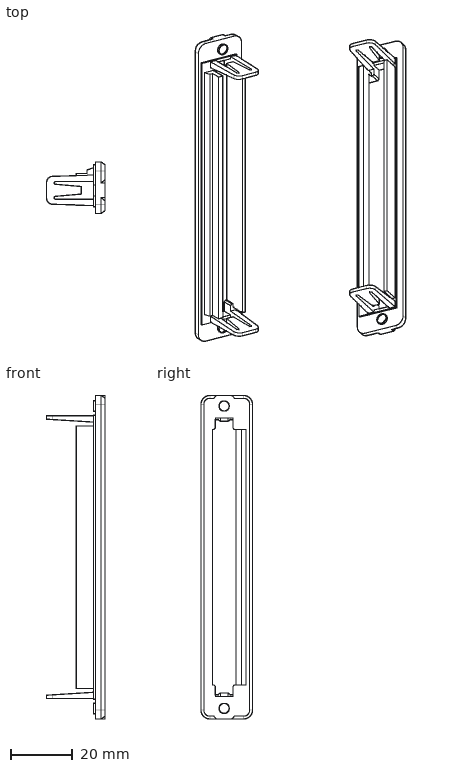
import cadquery as cq
import math


length = 105.0
width = 16.8
depth = 19.0
plate_thickness = 3.1
corner_radius = 2.9
bevel_depth = 1.3
bevel_inset = 0.9
plate_back = depth - plate_thickness

seat_height = 0.6
seat_left = 7.5
seat_right = -6.2
seat_half_length = 46.1
seat_back = plate_back - seat_height

feature_center = -0.8
hole_from_end = 3.5
hole_radius = 1.6
collar_radius = 1.8
pad_radius = 4.2
hole_z = length / 2 - hole_from_end

window_left = 2.9
window_right = -4.6
window_half_length = 41.4
neck_half_width = 2.8
neck_half_length = 45.1
neck_corner = 0.5

undercut_floor = 13.6
undercut_floor_edge = 4.8
undercut_front_edge = 6.3

rail_half_length = 42.6
rail_back = 9.7
wide_rail_step = 4.6
wide_rail_shelf_back = 13.1
wide_rail_shelf_edge = 5.8
wide_rail_foot = 6.5
thin_rail_edge = -5.8

arm_top = 45.9
arm_tip_half_width = 4.5
arm_base_half_width = 4.9
arm_tip_thickness = 1.2
arm_base_thickness = 2.1
arm_tip_radius = 2.1
slot_start = 2.5
tongue_root_half_width = 2.0
tongue_tip_half_width = 1.3
tongue_end = 11.3


def box(x_range, y_range, z_range):
    """Axis-aligned block between the given limits."""
    sizes = [high - low for low, high in (x_range, y_range, z_range)]
    corner = (x_range[0], y_range[0], z_range[0])
    return cq.Workplane("XY").box(*sizes, centered=False).translate(corner)


def rod(radius, x_start, x_end, z):
    """Cylinder along X on a screw-hole axis."""
    section_plane = cq.Workplane("YZ", origin=(x_start, feature_center, z))
    return section_plane.circle(radius).extrude(x_end - x_start)


def rounded_slab(x_start, thickness, taper=0.0):
    """Rounded plate outline extruded along +X."""
    outline = cq.Sketch().rect(width, length).vertices().fillet(corner_radius)
    return cq.Workplane("YZ", origin=(x_start, 0, 0)).placeSketch(outline).extrude(thickness, taper=taper)


def make_plate():
    """Plate with a bevelled front; the bevel is filled by a round pad at each screw hole."""
    bevel_angle = math.degrees(math.atan2(bevel_inset, bevel_depth))
    bevel_start = depth - bevel_depth
    plate = rounded_slab(plate_back, plate_thickness - bevel_depth)
    plate = plate.union(rounded_slab(bevel_start, bevel_depth, bevel_angle))
    square_front = rounded_slab(plate_back, plate_thickness)
    for z in (-hole_z, hole_z):
        plate = plate.union(square_front.intersect(rod(pad_radius, plate_back, depth, z)))
        plate = plate.union(rod(collar_radius, seat_back, plate_back, z))
    seat_z = (-seat_half_length, seat_half_length)
    return plate.union(box((seat_back, plate_back), (seat_right, seat_left), seat_z))


def make_window():
    """Cutter for the window and the chamfered neck at each end."""
    neck_right = feature_center - neck_half_width
    neck_left = feature_center + neck_half_width
    upper_half = (
        cq.Workplane("YZ", origin=(seat_back, 0, 0))
        .polyline([
            (window_right, 0),
            (window_right, window_half_length),
            (neck_right - neck_corner, window_half_length),
            (neck_right, window_half_length + neck_corner),
            (neck_right, neck_half_length),
            (neck_left, neck_half_length),
            (neck_left, window_half_length + neck_corner),
            (neck_left + neck_corner, window_half_length),
            (window_left, window_half_length),
            (window_left, 0),
        ])
        .close()
        .extrude(depth - seat_back)
    )
    return upper_half.union(upper_half.mirror("XY"))


def make_rails():
    """Stepped rail on the +Y side and plain thin rail on the -Y side."""
    wide_rail = (
        cq.Workplane("XY", origin=(0, 0, -rail_half_length))
        .polyline([
            (plate_back, window_left),
            (rail_back, window_left),
            (rail_back, wide_rail_step),
            (wide_rail_shelf_back, wide_rail_step),
            (wide_rail_shelf_back, wide_rail_shelf_edge),
            (seat_back, wide_rail_foot),
            (plate_back, wide_rail_foot),
        ])
        .close()
        .extrude(2 * rail_half_length)
    )
    rail_z = (-rail_half_length, rail_half_length)
    return wide_rail.union(box((rail_back, plate_back), (thin_rail_edge, window_right), rail_z))


def make_undercut():
    """Cutter that hollows the plate and the foot of the wide rail from the front."""
    return (
        cq.Workplane("XY", origin=(0, 0, -window_half_length))
        .polyline([
            (undercut_floor, window_left),
            (undercut_floor, undercut_floor_edge),
            (depth, undercut_front_edge),
            (depth, window_left),
        ])
        .close()
        .extrude(2 * window_half_length)
    )


def make_arm():
    """Upper snap arm: a tapered fork with a tongue between its legs."""
    blank = (
        cq.Workplane("XY", origin=(0, feature_center, 0))
        .polyline([
            (0, -arm_tip_half_width),
            (seat_back, -arm_base_half_width),
            (seat_back, arm_base_half_width),
            (0, arm_tip_half_width),
        ])
        .close()
        .extrude(arm_top)
        .edges("|Z and <X")
        .fillet(arm_tip_radius)
    )
    slot_radius = (neck_half_width - tongue_root_half_width) / 2
    slot_middle = neck_half_width - slot_radius
    round_end = slot_start + slot_radius
    fork_gap = (
        cq.Workplane("XY", origin=(0, feature_center, 0))
        .moveTo(seat_back, neck_half_width)
        .lineTo(round_end, neck_half_width)
        .threePointArc((slot_start, slot_middle), (round_end, tongue_root_half_width))
        .lineTo(tongue_end, tongue_tip_half_width)
        .lineTo(tongue_end, -tongue_tip_half_width)
        .lineTo(round_end, -tongue_root_half_width)
        .threePointArc((slot_start, -slot_middle), (round_end, -neck_half_width))
        .lineTo(seat_back, -neck_half_width)
        .close()
        .extrude(arm_top)
    )
    side_profile = (
        cq.Workplane("XZ")
        .polyline([
            (0, arm_top),
            (seat_back, arm_top),
            (seat_back, arm_top - arm_base_thickness),
            (0, arm_top - arm_tip_thickness),
        ])
        .close()
        .extrude(width / 2, both=True)
    )
    return blank.cut(fork_gap).intersect(side_profile)


arm = make_arm()
result = make_plate().cut(make_window()).union(make_rails()).cut(make_undercut())
result = result.union(arm).union(arm.mirror("XY"))
for z in (-hole_z, hole_z):
    result = result.cut(rod(hole_radius, seat_back, depth, z))